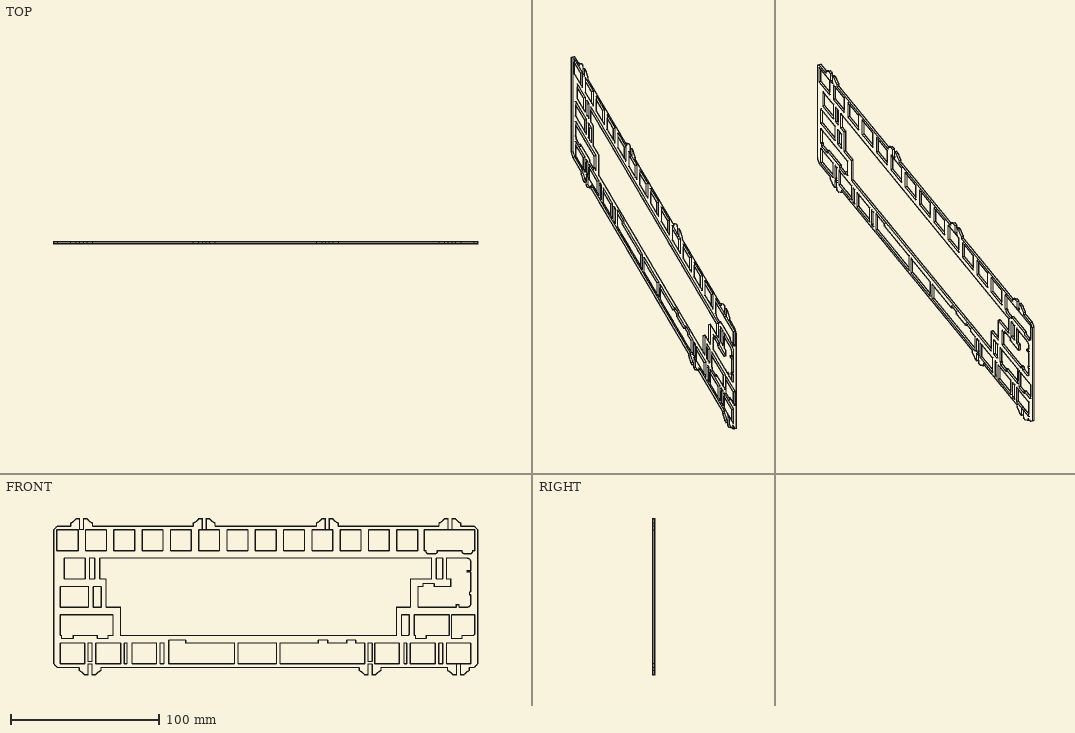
import cadquery as cq


LENGTH = 285.8
THICKNESS = 1.5
KEYS_ACROSS = 15
ROWS = 5
PITCH = LENGTH / KEYS_ACROSS
PLATE_HEIGHT = ROWS * PITCH
TOTAL_HEIGHT = 105.2
CORNER_CHAMFER = 2.5

KEY_WEB = 5.1
SWITCH = PITCH - KEY_WEB
HALF_SWITCH = SWITCH / 2

RELIEF = 2.0
CORNER_ROUND = 1.1

TAB_HEIGHT = (TOTAL_HEIGHT - PLATE_HEIGHT) / 2
TAB_BASE_HALF = 7.5
TAB_TIP_HALF = 3.7
TAB_SHOULDER = 2.0
TAB_FLANK_DIP = 0.3
TAB_SLOT = 2.5
TAB_SLOT_DEPTH = 2.3
TOP_TABS = (-124.0, -41.5, 41.5, 124.0)
BOTTOM_TABS = (-118.3, 70.3, 129.7)

ROW_1, ROW_2, ROW_3, ROW_4, ROW_5 = [(ROWS // 2 - row) * PITCH for row in range(ROWS)]

FIELD_LEFT = -138.3
FIELD_RIGHT = 138.0

SINGLE_KEYS = 13
END_MARGIN = 2.3
ROW_1_END = LENGTH / 2 - END_MARGIN
BACKSPACE = (107.0, ROW_1_END)
BACKSPACE_RELIEFS = ((108.0, 115.5), (132.3, 139.2))

TAB_KEY_WIDTH = 1.5 * PITCH
TAB_KEY_CENTRE = (TAB_KEY_WIDTH - LENGTH) / 2
ROW_2_SLOTS = ((-118.5, -115.2), (115.0, 119.2))

ROW_3_OPENINGS = ((FIELD_LEFT, -119.5), (-116.0, -111.0))

LEFT_SHIFT = (FIELD_LEFT, -103.0)
LEFT_SHIFT_RELIEFS = ((-137.5, -129.7), (-113.5, -106.3))
ROW_4_SLOT = (91.5, 96.5)
RIGHT_SHIFT = (100.0, 123.5)
RIGHT_SHIFT_RELIEF = (101.0, 108.0)
LAST_KEY = (125.2, ROW_1_END)
LAST_KEY_RELIEF = (125.2, 132.0)

SPACE_LEFT = -65.2
ROW_5_OPENINGS = (
    (FIELD_LEFT, -122.0), (-114.3, -97.7), (-95.2, -93.5), (-90.0, -73.7), (-71.2, -68.5),
    (SPACE_LEFT, -21.1), (-18.5, 7.1), (9.7, 66.5),
    (73.5, 89.7), (93.2, 95.0), (97.5, 114.0), (116.5, 119.2), (121.7, FIELD_RIGHT),
)
SPACE_RELIEFS = ((SPACE_LEFT, -54.0), (35.5, 41.7), (54.5, 60.5))
SHORT_SLOT_TABS = BOTTOM_TABS[:2]
SHORT_SLOT_LENGTH = 12.3

WINDOW_SIDES = ((-111.7, 111.5), (-107.5, 97.5), (-97.7, 88.0))

ENTER_UPPER_LEFT = 121.7
ENTER_STEP = 124.5
ENTER_LOWER_LEFT = 102.5
ENTER_RIGHT = FIELD_RIGHT
ENTER_ROUND = 2.5
ENTER_RELIEF = (106.0, 113.5)
UPPER_NIB = (2.5, 1.1)
UPPER_NIB_Z = 17.1
LOWER_NIB = (1.0, 2.0)
LOWER_NIB_Z = 2.3
FLOOR_NIB = (2.0, 1.7)
FLOOR_NIB_X = 129.2


def block(left, right, bottom, top):
    """Box through the plate thickness between the given X and Z limits."""
    return (
        cq.Workplane("XZ")
        .center((left + right) / 2, (bottom + top) / 2)
        .rect(right - left, top - bottom)
        .extrude(THICKNESS / 2, both=True)
    )


def opening(ends, row):
    """Opening one switch high, centred on a key row."""
    return block(*ends, row - HALF_SWITCH, row + HALF_SWITCH)


def relief_below(ends, row):
    """Relief under the lower edge of an opening, reaching up to the row centre."""
    return block(*ends, row - HALF_SWITCH - RELIEF, row)


def relief_above(ends, row):
    """Relief over the upper edge of an opening, reaching down to the row centre."""
    return block(*ends, row, row + HALF_SWITCH + RELIEF)


def cut_all(body, cutters):
    """Body with every cutter removed."""
    for cutter in cutters:
        body = body.cut(cutter)
    return body


def tab(x, side):
    """Tab with hollowed flanks on the top (side = 1) or bottom (side = -1) edge."""
    edge = PLATE_HEIGHT / 2
    root = side * (edge - TAB_SLOT_DEPTH)
    shoulder = side * (edge + TAB_SHOULDER)
    tip = side * (edge + TAB_HEIGHT)
    dip = side * TAB_FLANK_DIP
    return (
        cq.Workplane("XZ")
        .moveTo(x - TAB_BASE_HALF, root)
        .lineTo(x - TAB_BASE_HALF, shoulder)
        .sagittaArc((x - TAB_TIP_HALF, tip), -dip)
        .lineTo(x + TAB_TIP_HALF, tip)
        .sagittaArc((x + TAB_BASE_HALF, shoulder), -dip)
        .lineTo(x + TAB_BASE_HALF, root)
        .close()
        .extrude(THICKNESS / 2, both=True)
    )


def tab_slot(x, side):
    """Slot that splits a tab and runs into the plate edge."""
    inner = side * (PLATE_HEIGHT / 2 - TAB_SLOT_DEPTH)
    outer = side * TOTAL_HEIGHT / 2
    return block(x - TAB_SLOT / 2, x + TAB_SLOT / 2, min(inner, outer), max(inner, outer))


def central_window():
    """Large window whose sides step inward from row 2 to row 4."""
    upper, middle, lower = WINDOW_SIDES
    top = ROW_2 + HALF_SWITCH
    bottom = ROW_4 - HALF_SWITCH
    upper_step = ROW_2 - HALF_SWITCH
    lower_step = ROW_3 - HALF_SWITCH
    return (
        block(*upper, upper_step, top)
        .union(block(*middle, lower_step, upper_step))
        .union(block(*lower, bottom, lower_step))
    )


def enter_opening():
    """L-shaped Enter key opening with its nibs."""
    top = ROW_2 + HALF_SWITCH
    floor = ROW_3 - HALF_SWITCH
    main = block(ENTER_STEP, ENTER_RIGHT, floor, top).edges("|Y and >X").fillet(ENTER_ROUND)
    shelf_corner = block(ENTER_UPPER_LEFT, ENTER_STEP, ROW_2 - HALF_SWITCH, top)
    foot = opening((ENTER_LOWER_LEFT, ENTER_STEP), ROW_3)
    shape = main.union(shelf_corner).union(foot).union(relief_above(ENTER_RELIEF, ROW_3))

    nibs = [
        block(ENTER_RIGHT - length, ENTER_RIGHT, z - height / 2, z + height / 2)
        for (length, height), z in ((UPPER_NIB, UPPER_NIB_Z), (LOWER_NIB, LOWER_NIB_Z))
    ]
    nib_width, nib_height = FLOOR_NIB
    nib_left = FLOOR_NIB_X - nib_width / 2
    nibs.append(block(nib_left, nib_left + nib_width, floor, floor + nib_height))
    return cut_all(shape, nibs)


result = block(-LENGTH / 2, LENGTH / 2, -PLATE_HEIGHT / 2, PLATE_HEIGHT / 2)
result = result.edges("|Y").chamfer(CORNER_CHAMFER)
tab_places = [(x, 1) for x in TOP_TABS] + [(x, -1) for x in BOTTOM_TABS]
for place in tab_places:
    result = result.union(tab(*place))
result = cut_all(result, [tab_slot(*place) for place in tab_places])

for key in range(SINGLE_KEYS):
    key_x = (key + 0.5) * PITCH - LENGTH / 2
    left = -ROW_1_END if key == 0 else key_x - HALF_SWITCH
    result = result.cut(opening((left, key_x + HALF_SWITCH), ROW_1))
result = result.cut(opening(BACKSPACE, ROW_1))
for ends in BACKSPACE_RELIEFS:
    result = result.cut(relief_below(ends, ROW_1).edges("|Y").fillet(CORNER_ROUND))

result = result.cut(opening((TAB_KEY_CENTRE - HALF_SWITCH, TAB_KEY_CENTRE + HALF_SWITCH), ROW_2))
result = cut_all(result, [opening(ends, ROW_2) for ends in ROW_2_SLOTS])
result = cut_all(result, [opening(ends, ROW_3) for ends in ROW_3_OPENINGS])

result = result.cut(opening(LEFT_SHIFT, ROW_4)).cut(opening(RIGHT_SHIFT, ROW_4))
for ends in (ROW_4_SLOT, LAST_KEY):
    result = result.cut(opening(ends, ROW_4).edges("|Y and >X and <Z").fillet(CORNER_ROUND))
row_4_reliefs = LEFT_SHIFT_RELIEFS + (RIGHT_SHIFT_RELIEF, LAST_KEY_RELIEF)
result = cut_all(result, [relief_below(ends, ROW_4) for ends in row_4_reliefs])

result = cut_all(result, [opening(ends, ROW_5) for ends in ROW_5_OPENINGS])
result = cut_all(result, [relief_above(ends, ROW_5) for ends in SPACE_RELIEFS])
slot_top = ROW_5 + HALF_SWITCH
for x in SHORT_SLOT_TABS:
    result = result.cut(block(x - TAB_SLOT / 2, x + TAB_SLOT / 2, slot_top - SHORT_SLOT_LENGTH, slot_top))

result = result.cut(central_window()).cut(enter_opening())